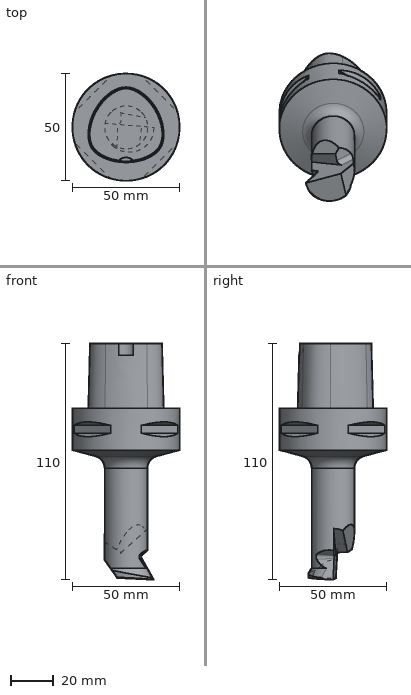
import cadquery as cq
import math


taper_height = 30.0
taper_radius_bottom = 17.6
taper_radius_top = 16.8
lobe_eccentricity = 1.1
flank_half_angle = 24.0
lobe_count = 3
key_radius = 4.4
key_center_y = -18.5
key_depth = 5.5

flange_radius = 50.0 / 2
flange_height = 19.6
groove_floor_distance = 22.0
groove_floor_height = 3.5
groove_mid_z = -9.9
groove_wall_angle = 29.0
groove_count = 4
cone_angle = 15.0
neck_fillet = 5.7

bar_radius = 20.0 / 2
tip_x = 13.0
tip_z = taper_height - 110.0
head_radius = 11.5
head_top_z = -74.6
head_flare = 0.65
bottom_slope = 0.05
end_clearance_angle = 2.0
rake_y_at_back = 1.9
flute_fillet = 2.2
notch_corner_radius = 1.1
notch_x = 6.8
notch_z = -69.1
notch_mouth_z = -66.2
side_clearance_angle = 7.0
back_start_z = -70.6
back_end_x = -4.1
back_end_z = -79.1
flute_ridge = (-2.4, -67.2)
flute_back_z = -62.3
flute_corner = (flute_ridge[0], 6.7, flute_ridge[1])
flute_corner_normal = (1.0, 1.5, -0.8)

reach = 2 * flange_radius
margin = 2.2

cone_tan = math.tan(math.radians(cone_angle))
cone_corner_z = -flange_height - (flange_radius - bar_radius) * cone_tan
fillet_tangent = neck_fillet * math.tan(math.radians((90 - cone_angle) / 2))
bar_top_z = cone_corner_z - fillet_tangent

mouth_slope = (notch_mouth_z - notch_z) / (bar_radius - notch_x)


def polygon_point(radius, degrees):
    """Point of the three-lobed taper curve; zero degrees is the middle of the -Y flank."""
    a = math.radians(degrees)
    e = lobe_eccentricity
    outward = radius * math.cos(a) - 2 * e * math.cos(2 * a) + e * math.cos(4 * a)
    sideways = radius * math.sin(a) + 2 * e * math.sin(2 * a) + e * math.sin(4 * a)
    return sideways, -outward


def polygon_wire(radius, z):
    """Closed taper outline made of alternating flank and lobe curves."""
    points_per_curve = 9
    lobe_pitch = 360 / lobe_count
    edges = []
    for lobe in range(lobe_count):
        middle = lobe * lobe_pitch
        ends = (middle - flank_half_angle, middle + flank_half_angle,
                middle + lobe_pitch - flank_half_angle)
        for start, end in zip(ends, ends[1:]):
            points = []
            for i in range(points_per_curve):
                angle = start + (end - start) * i / (points_per_curve - 1)
                points.append(cq.Vector(*polygon_point(radius, angle), z))
            edges.append(cq.Edge.makeSpline(points))
    return cq.Wire.assembleEdges(edges)


def make_taper():
    """Polygon taper with its round key recess in the -Y flank."""
    wires = [polygon_wire(taper_radius_bottom, 0), polygon_wire(taper_radius_top, taper_height)]
    taper = cq.Workplane(cq.Solid.makeLoft(wires, True))
    key = (cq.Workplane("XY", origin=(0, key_center_y, taper_height - key_depth))
           .circle(key_radius).extrude(key_depth))
    return taper.cut(key)


def make_flange():
    """Flange, cone and neck fillet as one turned shape."""
    fillet_x = bar_radius + fillet_tangent * math.cos(math.radians(cone_angle))
    fillet_z = cone_corner_z + fillet_tangent * math.sin(math.radians(cone_angle))
    half = math.radians(cone_angle / 2 + 45)
    center_x = bar_radius + neck_fillet
    middle = (center_x - neck_fillet * math.sin(half), bar_top_z + neck_fillet * math.cos(half))
    return (cq.Workplane("XZ").lineTo(flange_radius, 0).lineTo(flange_radius, -flange_height)
            .lineTo(fillet_x, fillet_z).threePointArc(middle, (bar_radius, bar_top_z))
            .lineTo(0, bar_top_z).close().revolve(360, (0, 0, 0), (0, 1, 0)))


def make_gripper_groove(angle):
    """Straight groove with a flat floor and sloping walls, facing the given direction."""
    depth = flange_radius - groove_floor_distance
    floor = groove_floor_height / 2
    mouth = floor + depth * math.tan(math.radians(groove_wall_angle))
    profile = [(groove_floor_distance, groove_mid_z - floor), (flange_radius, groove_mid_z - mouth),
               (flange_radius, groove_mid_z + mouth), (groove_floor_distance, groove_mid_z + floor)]
    groove = cq.Workplane("XZ").polyline(profile).close().extrude(reach / 2, both=True)
    return groove.rotate((0, 0, 0), (0, 0, 1), angle)


def make_holder():
    holder = make_flange().union(make_taper())
    for i in range(groove_count):
        holder = holder.cut(make_gripper_groove(45 + i * 360 / groove_count))
    return holder


def make_bar_blank():
    """Round shank and the flared, eccentric head, with the slightly sloping end face."""
    end_z = tip_z - margin
    shank = cq.Workplane("XY", origin=(0, 0, end_z)).circle(bar_radius).extrude(bar_top_z - end_z)
    head_height = head_top_z - end_z
    flare = cq.Workplane(cq.Solid.makeCone(bar_radius + head_flare * head_height, bar_radius,
                                           head_height, cq.Vector(0, 0, end_z)))
    head = (cq.Workplane("XY", origin=(tip_x - head_radius, 0, end_z))
            .circle(head_radius).extrude(head_height).intersect(flare))
    rise = bottom_slope * reach
    below = [(tip_x + reach, tip_z - rise), (tip_x - reach, tip_z + rise),
             (tip_x - reach, tip_z - reach), (tip_x + reach, tip_z - reach)]
    end_cut = cq.Workplane("XZ").polyline(below).close().extrude(reach, both=True)
    end_cut = end_cut.rotate((0, 0, tip_z), (1, 0, tip_z), -end_clearance_angle)
    return shank.union(head).cut(end_cut)


def make_flute():
    """Chip space above the rake face, under a roof whose ridge runs along Y."""
    back_slope = (flute_back_z - flute_ridge[1]) / (bar_radius + flute_ridge[0])
    left = -tip_x - margin
    right = tip_x + margin
    roof = [(left, flute_back_z - back_slope * (left + bar_radius)), flute_ridge,
            (right, flute_ridge[1] + mouth_slope * (right - flute_ridge[0])),
            (right, tip_z - margin), (left, tip_z - margin)]
    space = cq.Workplane("XZ", origin=(0, reach, 0)).polyline(roof).close().extrude(2 * reach)
    rake_slope = rake_y_at_back / (bar_radius + tip_x)
    above_rake = [(left, rake_slope * (tip_x - left)), (right, rake_slope * (tip_x - right)),
                  (right, reach), (left, reach)]
    rake = (cq.Workplane("XY", origin=(0, 0, -reach * 2)).polyline(above_rake).close()
            .extrude(reach * 2))
    flute = space.intersect(rake)
    back_roof_edge = cq.selectors.BoxSelector((left, 0, flute_ridge[1]),
                                              (flute_ridge[0], rake_y_at_back + margin / 2, -reach))
    flute = flute.faces("<Y").edges(back_roof_edge).fillet(flute_fillet)

    outside = cq.Plane(origin=flute_corner, normal=flute_corner_normal)
    corner = cq.Workplane(outside).rect(reach, reach).extrude(reach).intersect(rake)
    return flute.union(corner)


def make_side_notch():
    """Notch that frees the side of the cutting tip, widening away from the rake face."""
    edge_slope = (tip_x - notch_x) / (tip_z - notch_z)
    low_z = tip_z - margin
    right = tip_x + 3 * margin
    outline = [(notch_x, notch_z), (tip_x + edge_slope * (low_z - tip_z), low_z), (right, low_z),
               (right, notch_z + mouth_slope * (right - notch_x))]
    profile = cq.Sketch().polygon(outline + outline[:1])
    profile = profile.vertices("<X").fillet(notch_corner_radius)
    below_rake = cq.Workplane("XZ").placeSketch(profile)
    below_rake = below_rake.extrude(head_radius + margin, taper=-side_clearance_angle)
    above_rake = cq.Workplane("XZ").placeSketch(profile).extrude(-rake_y_at_back)
    return below_rake.union(above_rake)


def make_back_cut():
    """Sloping flat that relieves the head opposite the cutting tip."""
    slope = (back_end_z - back_start_z) / (back_end_x + bar_radius)
    outer_x = -tip_x - margin
    low_z = tip_z - margin
    outline = [(outer_x, back_start_z + slope * (outer_x + bar_radius)), (outer_x, low_z),
               (back_end_x + (low_z - back_end_z) / slope, low_z)]
    return cq.Workplane("XZ").polyline(outline).close().extrude(reach, both=True)


def make_boring_bar():
    bar = make_bar_blank().cut(make_flute())
    return bar.cut(make_back_cut()).cut(make_side_notch())


holder = make_holder()
boring_bar = make_boring_bar()
result = cq.Compound.makeCompound([holder.val(), boring_bar.val()])